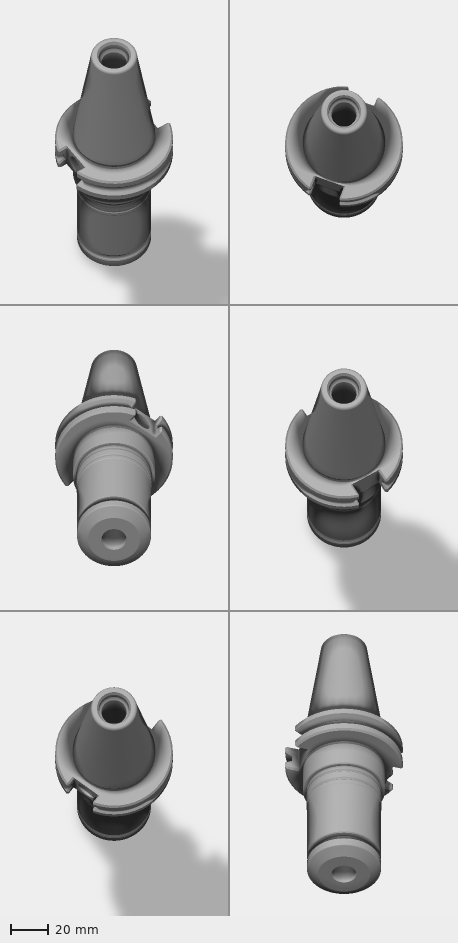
import cadquery as cq
import math


gauge_dia = 44.45
overall_length = 163.85
taper_length = 68.4
taper_ratio = 7 / 24
tip_fillet = 1.5

flange_dia = 63.5
flange_top_z = -3.05
flange_thickness = 15.9
flange_bottom_z = flange_top_z - flange_thickness
flange_mid_z = (flange_top_z + flange_bottom_z) / 2
flange_chamfer = 1.0
groove_dia = 56.25
groove_z = -10.85
groove_floor_width = 3.1
groove_wall_angle = 30

relief_dia = 43.4
upper_relief_end_dia = 44.8
lower_relief_end_dia = gauge_dia
upper_relief_z = -2.1
lower_relief_z = -19.7
lower_relief_end_z = -20.7

slot_width = 16.3
front_slot_floor_y = -24.9
back_slot_floor_y = 22.6
slot_corner_fillet = 0.5
slot_edge_chamfer = 1.0

pocket_dia = 10.7
pocket_rim_chamfer = 0.25
pocket_depth = 9.0
drill_point_angle = 140

shoulder_bottom_z = -35.0
edge_chamfer = 0.5
band_dia = 40.5
body_dia = 40.0
ring_groove_dia = 39.8
ring_groove_tops = (-37.0, -43.0)
ring_groove_width = 2.0
band_end_z = -47.0

neck_dia = 34.0
neck_top_z = -83.0
neck_bottom_z = -87.0
end_z = taper_length - overall_length
end_dia = 28.1
end_cone_angle = 60
collar_fillet = 1.0

bore_dia = 13.53
counterbore_dia = 16.5
counterbore_wall_end_depth = 4.85
counterbore_seat_angle = 90
mouth_dia = 18.4
mouth_angle = 60


tol = 0.01


def cone_length(large_dia, small_dia, full_angle):
    """Axial length of a cone between two diameters."""
    return (large_dia - small_dia) / 2 / math.tan(math.radians(full_angle / 2))


def revolve(outline):
    """Solid of revolution from (diameter, z) points, closed along the Z axis."""
    points = [(0, outline[0][1])]
    points += [(dia / 2, z) for dia, z in outline]
    points += [(0, outline[-1][1])]
    return cq.Workplane("XZ").polyline(points).close().revolve(360, (0, 0, 0), (0, 1, 0))


def circles_at(z, dia):
    """Selector box around a circular edge of the given diameter at height z."""
    reach = dia / 2 + tol
    return cq.selectors.BoxSelector((-reach, -reach, z - tol), (reach, reach, z + tol), boundingbox=True)


def flange_outline():
    """Points of the flange from its top face to its bottom face."""
    wall_drop = (flange_dia - groove_dia) / 2 * math.tan(math.radians(groove_wall_angle))
    floor_half = groove_floor_width / 2
    mouth_half = floor_half + wall_drop
    return [
        (flange_dia - 2 * flange_chamfer, flange_top_z),
        (flange_dia, flange_top_z - flange_chamfer),
        (flange_dia, groove_z + mouth_half),
        (groove_dia, groove_z + floor_half),
        (groove_dia, groove_z - floor_half),
        (flange_dia, groove_z - mouth_half),
        (flange_dia, flange_bottom_z + flange_chamfer),
        (flange_dia - 2 * flange_chamfer, flange_bottom_z),
    ]


def ring_groove_outline(top_z):
    """Points of a shallow ring groove with sloped walls in the band."""
    bottom_z = top_z - ring_groove_width
    return [
        (band_dia, top_z),
        (ring_groove_dia, top_z - edge_chamfer),
        (ring_groove_dia, bottom_z + edge_chamfer),
        (band_dia, bottom_z),
    ]


def make_body():
    """Turned body without bore and slots."""
    tip_dia = gauge_dia - taper_length * taper_ratio
    cone_end_z = end_z + cone_length(body_dia, end_dia, 2 * end_cone_angle)
    outline = [
        (tip_dia, taper_length),
        (gauge_dia, 0),
        (relief_dia, upper_relief_z),
        (upper_relief_end_dia, flange_top_z),
    ]
    outline += flange_outline()
    outline += [
        (lower_relief_end_dia, flange_bottom_z),
        (relief_dia, lower_relief_z),
        (gauge_dia, lower_relief_end_z),
        (gauge_dia, shoulder_bottom_z + edge_chamfer),
        (gauge_dia - 2 * edge_chamfer, shoulder_bottom_z),
        (band_dia, shoulder_bottom_z),
    ]
    for top_z in ring_groove_tops:
        outline += ring_groove_outline(top_z)
    outline += [
        (band_dia, band_end_z),
        (body_dia, band_end_z - edge_chamfer),
        (body_dia, neck_top_z + edge_chamfer),
        (body_dia - 2 * edge_chamfer, neck_top_z),
        (neck_dia, neck_top_z),
        (neck_dia, neck_bottom_z),
        (body_dia - 2 * edge_chamfer, neck_bottom_z),
        (body_dia, neck_bottom_z - edge_chamfer),
        (body_dia, cone_end_z),
        (end_dia, end_z),
    ]
    body = revolve(outline)
    body = body.edges(circles_at(taper_length, tip_dia)).fillet(tip_fillet)
    return body.edges(circles_at(cone_end_z, body_dia)).fillet(collar_fillet)


def make_bore():
    """Through bore with a conical seat, a wider mouth section and a countersink."""
    wall_top_z = taper_length - cone_length(mouth_dia, counterbore_dia, mouth_angle)
    wall_end_z = taper_length - counterbore_wall_end_depth
    seat_length = cone_length(counterbore_dia, bore_dia, counterbore_seat_angle)
    return revolve(
        [
            (mouth_dia, taper_length),
            (counterbore_dia, wall_top_z),
            (counterbore_dia, wall_end_z),
            (bore_dia, wall_end_z - seat_length),
            (bore_dia, end_z),
        ]
    )


def cut_slot(body, floor_y):
    """Cut one driving slot, chamfer the rims of its two walls and round the floor corners."""
    side = math.copysign(1, floor_y)
    slot_depth = flange_dia / 2 - abs(floor_y)
    slot = (
        cq.Workplane("XY")
        .box(slot_width, slot_depth, flange_thickness)
        .translate((0, floor_y + side * slot_depth / 2, flange_mid_z))
    )
    body = body.cut(slot)

    for x in (-slot_width / 2, slot_width / 2):
        near_y, far_y = sorted((floor_y + side * tol, side * flange_dia))
        wall_rim = cq.selectors.BoxSelector(
            (x - tol, near_y, flange_bottom_z - tol), (x + tol, far_y, flange_top_z + tol)
        )
        body = body.edges(wall_rim).chamfer(slot_edge_chamfer)
        corner = cq.selectors.BoxSelector(
            (x - tol, floor_y - tol, flange_bottom_z), (x + tol, floor_y + tol, flange_top_z)
        )
        body = body.edges(corner).edges("|Z").fillet(slot_corner_fillet)
    return body


def make_pocket():
    """Drilled blind hole with a conical bottom, along +Y from the -Y slot floor."""
    radius = pocket_dia / 2
    tip_depth = pocket_depth + cone_length(pocket_dia, 0, drill_point_angle)
    profile = [
        (0, front_slot_floor_y),
        (radius + pocket_rim_chamfer, front_slot_floor_y),
        (radius, front_slot_floor_y + pocket_rim_chamfer),
        (radius, front_slot_floor_y + pocket_depth),
        (0, front_slot_floor_y + tip_depth),
    ]
    pocket = cq.Workplane("XY").polyline(profile).close().revolve(360, (0, 0, 0), (0, 1, 0))
    return pocket.translate((0, 0, flange_mid_z))


result = make_body()
for slot_floor_y in (front_slot_floor_y, back_slot_floor_y):
    result = cut_slot(result, slot_floor_y)
result = result.cut(make_pocket()).cut(make_bore())